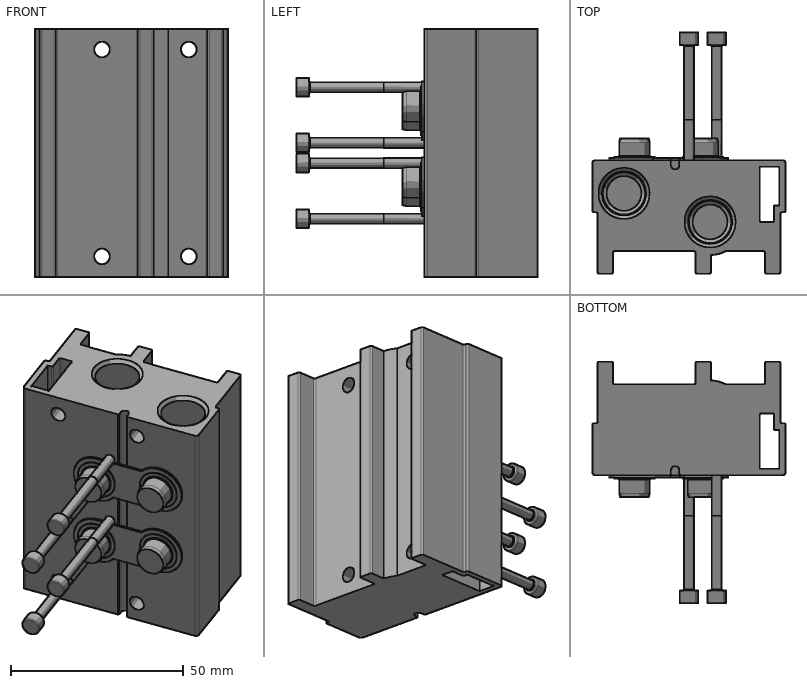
import cadquery as cq
import math


LENGTH = 72.0
WIDTH = 56.1
DEPTH = 33.0
OVERALL_DEPTH = 70.1
LEG_SPAN = 53.1
STEP_Y = 17.85
RECESS_Y = 6.55
LEG_WIDTH = 4.5
MIDDLE_LEG_LEFT = 1.9
BACK_RADIUS = 0.9
CORNER_RADIUS = 0.5

PORT_CENTERS = [(-18.9, 23.3), (6.1, 15.05)]
PORT_MOUTH_DIA = 14.8
PORT_ENTRY_DIA = 12.8
PORT_TAPER_DIA = 12.25
PORT_BORE_DIA = 10.1
PORT_CHAMFER = (PORT_MOUTH_DIA - PORT_ENTRY_DIA) / 2
PORT_TAPER_DEPTH = 12.25
PORT_DRILL_ANGLE = 118.0
PORT_BORE_DEPTH = 64.8
PORT_WALL_RADIUS = 9.65

SLOT_LEFT = 20.6
SLOT_RIGHT = 26.1
SLOT_STEP_X = 24.6
SLOT_BACK = 31.0
SLOT_STEP_Y = 19.9
SLOT_FRONT = 15.05
SLOT_RADIUS = 0.35

GROOVE_X = -4.0
GROOVE_WIDTH = 2.45
GROOVE_DEPTH = 2.7
GROOVE_CHAMFER = 0.3

MOUNT_DIA = 4.5
MOUNT_XS = [-8.6, 16.6]
MOUNT_END_DISTANCE = 6.0

STATION_PITCH = 22.0
STATION_ZS = [LENGTH / 2 - STATION_PITCH / 2, LENGTH / 2 + STATION_PITCH / 2]
STATION_X = 4.0
SCREW_OFFSET_X = STATION_X
SCREW_OFFSET_Z = 8.1

GASKET_THICKNESS = 0.65
LOBE_DIA = 14.7
PLUG_DIA = 8.9
PLUG_HEIGHT = 6.3
PLUG_TAPER_HEIGHT = 1.15
PLUG_TIP_DIA = 8.35
COLLAR_DIA = 11.8
COLLAR_HEIGHT = 0.9
PLUG_FLARE = 0.3
SIDE_PLUG_X = -15.85
SIDE_PLUG_RISE = 2.45

PIN_DIA = GROOVE_WIDTH
PIN_BELOW_GROOVE = 1.1
PIN_DEPTH = GROOVE_DEPTH + PIN_BELOW_GROOVE

SCREW_THREAD_DIA = 3.0
SCREW_SHANK_DIA = 2.95
SCREW_THREAD_TOP = 11.7
SCREW_HEAD_DIA = 5.5
SCREW_HEAD_HEIGHT = 3.75
SCREW_ENGAGEMENT = 6.7
SCREW_EDGE = 0.3
SCREW_NECK_DIA = 3.5


def y_cylinder(diameter, x, z, y_start, y_end):
    """Cylinder along +Y."""
    radius = diameter / 2
    height = y_end - y_start
    return cq.Workplane(cq.Solid.makeCylinder(radius, height, cq.Vector(x, y_start, z), cq.Vector(0, 1, 0)))


def block(x_min, x_max, y_min, y_max):
    """Rectangular bar over the full length of the housing."""
    width = x_max - x_min
    depth = y_max - y_min
    return cq.Workplane("XY").box(width, depth, LENGTH, centered=False).translate((x_min, y_min, 0))


def station_screws(station_z):
    """X and Z of the two screws placed symmetrically about the station."""
    return [(STATION_X + side * SCREW_OFFSET_X, station_z - side * SCREW_OFFSET_Z) for side in (-1, 1)]


def pin_place(station_z):
    """X and Z of the locating pin, level with the middle of the gasket web."""
    return GROOVE_X, station_z + SIDE_PLUG_RISE / 2


def housing_profile():
    """Three-legged bar with rounded corners and the wall bulging around the second port."""
    half_width = WIDTH / 2
    half_span = LEG_SPAN / 2
    inner = half_span - LEG_WIDTH
    middle_right = MIDDLE_LEG_LEFT + LEG_WIDTH
    outline = [
        (-half_width, DEPTH), (-half_width, STEP_Y), (-half_span, STEP_Y), (-half_span, 0),
        (-inner, 0), (-inner, RECESS_Y), (MIDDLE_LEG_LEFT, RECESS_Y), (MIDDLE_LEG_LEFT, 0),
        (middle_right, 0), (middle_right, RECESS_Y), (inner, RECESS_Y), (inner, 0),
        (half_span, 0), (half_span, STEP_Y), (half_width, STEP_Y), (half_width, DEPTH),
    ]
    bar = cq.Workplane("XY").polyline(outline).close().extrude(LENGTH)
    bar = bar.faces(">Y").edges("|Z").fillet(BACK_RADIUS)
    front = cq.selectors.BoxSelector((-WIDTH, -DEPTH, 0), (WIDTH, STEP_Y + CORNER_RADIUS, LENGTH))
    wall_root = cq.selectors.NearestToPointSelector((middle_right, RECESS_Y, LENGTH / 2))
    bar = bar.edges("|Z").edges(front - wall_root).fillet(CORNER_RADIUS)
    port_x, port_y = PORT_CENTERS[1]
    wall = cq.Workplane("XY").center(port_x, port_y).circle(PORT_WALL_RADIUS).extrude(LENGTH)
    return bar.union(wall.intersect(block(MIDDLE_LEG_LEFT, inner, 0, port_y)))


def port_cutter(x, y):
    """Chamfered, slightly tapered port that narrows to a blind bore."""
    cone_depth = (PORT_TAPER_DIA - PORT_BORE_DIA) / 2 / math.tan(math.radians(PORT_DRILL_ANGLE / 2))
    cone_end = PORT_TAPER_DEPTH + cone_depth
    half_section = [
        (0, LENGTH), (PORT_MOUTH_DIA / 2, LENGTH), (PORT_ENTRY_DIA / 2, LENGTH - PORT_CHAMFER),
        (PORT_TAPER_DIA / 2, LENGTH - PORT_TAPER_DEPTH), (PORT_BORE_DIA / 2, LENGTH - cone_end),
        (PORT_BORE_DIA / 2, LENGTH - PORT_BORE_DEPTH), (0, LENGTH - PORT_BORE_DEPTH),
    ]
    return cq.Workplane("XZ").polyline(half_section).close().revolve().translate((x, y, 0))


def slot_cutter():
    """Stepped slot, rounded at its front corners and at the step."""
    outline = [
        (SLOT_LEFT, SLOT_BACK), (SLOT_LEFT, SLOT_FRONT), (SLOT_STEP_X, SLOT_FRONT),
        (SLOT_STEP_X, SLOT_STEP_Y), (SLOT_RIGHT, SLOT_STEP_Y), (SLOT_RIGHT, SLOT_BACK),
    ]
    slot = cq.Workplane("XY").polyline(outline).close().extrude(LENGTH)
    step_corner = (SLOT_STEP_X + SLOT_RADIUS, SLOT_STEP_Y + SLOT_RADIUS, LENGTH)
    rounded = cq.selectors.BoxSelector((0, 0, 0), step_corner)
    return slot.edges("|Z").edges(rounded).fillet(SLOT_RADIUS)


def groove_cutter():
    """Round-bottomed groove with a chamfered mouth."""
    radius = GROOVE_WIDTH / 2
    round_y = DEPTH - GROOVE_DEPTH + radius
    chamfer_y = DEPTH - GROOVE_CHAMFER
    mouth = radius + GROOVE_CHAMFER
    return (
        cq.Workplane("XY")
        .moveTo(-mouth, DEPTH)
        .lineTo(-radius, chamfer_y)
        .lineTo(-radius, round_y)
        .threePointArc((0, round_y - radius), (radius, round_y))
        .lineTo(radius, chamfer_y)
        .lineTo(mouth, DEPTH)
        .close()
        .extrude(LENGTH)
        .translate((GROOVE_X, 0, 0))
    )


def make_housing():
    body = housing_profile().cut(slot_cutter()).cut(groove_cutter())
    for x, y in PORT_CENTERS:
        body = body.cut(port_cutter(x, y))
    for x in MOUNT_XS:
        for z in (MOUNT_END_DISTANCE, LENGTH - MOUNT_END_DISTANCE):
            body = body.cut(y_cylinder(MOUNT_DIA, x, z, 0, DEPTH))
    for station_z in STATION_ZS:
        for x, z in station_screws(station_z):
            body = body.cut(y_cylinder(SCREW_THREAD_DIA, x, z, DEPTH - SCREW_ENGAGEMENT, DEPTH))
        pin_x, pin_z = pin_place(station_z)
        body = body.cut(y_cylinder(PIN_DIA, pin_x, pin_z, DEPTH - PIN_DEPTH, DEPTH))
    return body


def make_plug(x, z):
    """Plug with a tapered tip, standing on a collar and a round gasket lobe."""
    taper_start = PLUG_HEIGHT - PLUG_TAPER_HEIGHT
    half_section = [
        (0, 0), (LOBE_DIA / 2, 0), (LOBE_DIA / 2, GASKET_THICKNESS), (COLLAR_DIA / 2, GASKET_THICKNESS),
        (COLLAR_DIA / 2, COLLAR_HEIGHT), (PLUG_DIA / 2 + PLUG_FLARE, COLLAR_HEIGHT),
        (PLUG_DIA / 2, COLLAR_HEIGHT + PLUG_FLARE), (PLUG_DIA / 2, taper_start),
        (PLUG_TIP_DIA / 2, PLUG_HEIGHT), (0, PLUG_HEIGHT),
    ]
    plug = cq.Workplane("XY").polyline(half_section).close().revolve(360, (0, 0), (0, 1))
    return plug.translate((x, DEPTH, z))


def make_gasket(station_z):
    """Two plugs joined by a web tangent to the top of one lobe and the bottom of the other."""
    side_z = station_z + SIDE_PLUG_RISE
    web_length = STATION_X - SIDE_PLUG_X
    web_height = LOBE_DIA - SIDE_PLUG_RISE
    web_bottom = side_z - LOBE_DIA / 2
    web = cq.Workplane("XY").box(web_length, GASKET_THICKNESS, web_height, centered=False)
    web = web.translate((SIDE_PLUG_X, DEPTH, web_bottom))
    gasket = web.union(make_plug(STATION_X, station_z)).union(make_plug(SIDE_PLUG_X, side_z))
    for x, z in station_screws(station_z):
        gasket = gasket.cut(y_cylinder(SCREW_THREAD_DIA, x, z, DEPTH, DEPTH + GASKET_THICKNESS))
    return gasket


def make_pin(station_z):
    x, z = pin_place(station_z)
    return y_cylinder(PIN_DIA, x, z, DEPTH - PIN_DEPTH, DEPTH)


def make_screw(x, z):
    """Cap screw standing out of the valve face, its thread in the housing."""
    head_base = OVERALL_DEPTH - SCREW_HEAD_HEIGHT
    thread_top = DEPTH + SCREW_THREAD_TOP
    head = y_cylinder(SCREW_HEAD_DIA, x, z, head_base, OVERALL_DEPTH).edges().fillet(SCREW_EDGE)
    shank = y_cylinder(SCREW_SHANK_DIA, x, z, thread_top, head_base)
    thread = y_cylinder(SCREW_THREAD_DIA, x, z, DEPTH - SCREW_ENGAGEMENT, thread_top)
    neck_flare = (SCREW_NECK_DIA - SCREW_SHANK_DIA) / 2
    neck_start = cq.Vector(x, head_base - neck_flare, z)
    neck = cq.Solid.makeCone(
        SCREW_SHANK_DIA / 2, SCREW_NECK_DIA / 2, neck_flare, neck_start, cq.Vector(0, 1, 0)
    )
    return thread.union(shank).union(cq.Workplane(neck)).union(head)


housing = make_housing()
gaskets = [make_gasket(station_z) for station_z in STATION_ZS]
pins = [make_pin(station_z) for station_z in STATION_ZS]
screws = [make_screw(x, z) for station_z in STATION_ZS for x, z in station_screws(station_z)]

result = cq.Compound.makeCompound([body.val() for body in [housing, *gaskets, *pins, *screws]])